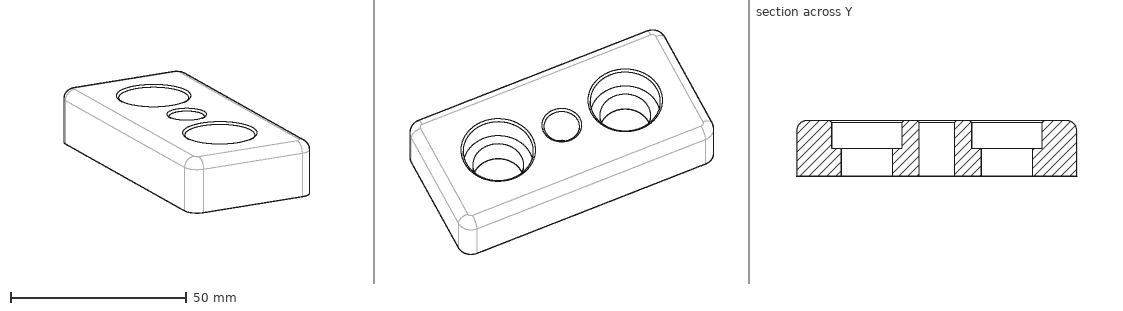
import cadquery as cq

length = 80.0
width = length / 2
height = length / 5
corner_radius = 4.0
top_edge_radius = 3.0

screw_spacing = length / 2
screw_hole_diameter = 14.5
counterbore_diameter = 20.0
counterbore_depth = 8.0
center_hole_diameter = 10.1
rim_chamfer = 0.6


def rounded_block():
    """Block standing on Z = 0 with rounded corners and a rounded top edge."""
    block = cq.Workplane("XY").box(length, width, height, centered=(True, True, False))
    block = block.edges("|Z").fillet(corner_radius)
    return block.faces(">Z").edges().fillet(top_edge_radius)


def hole_cutter(x, diameter, depth):
    """Round cutter going down from the top face, widened by a chamfer at the rim."""
    top = cq.Workplane("XY", origin=(x, 0, height))
    bore = top.circle(diameter / 2).extrude(-depth)
    rim = top.circle(diameter / 2 + rim_chamfer).extrude(-rim_chamfer, taper=45)
    return bore.union(rim)


def through_cutter(x, diameter):
    return cq.Workplane("XY", origin=(x, 0, 0)).circle(diameter / 2).extrude(height)


result = rounded_block()
result = result.cut(hole_cutter(0, center_hole_diameter, height))
for screw_x in (-screw_spacing / 2, screw_spacing / 2):
    result = result.cut(hole_cutter(screw_x, counterbore_diameter, counterbore_depth))
    result = result.cut(through_cutter(screw_x, screw_hole_diameter))